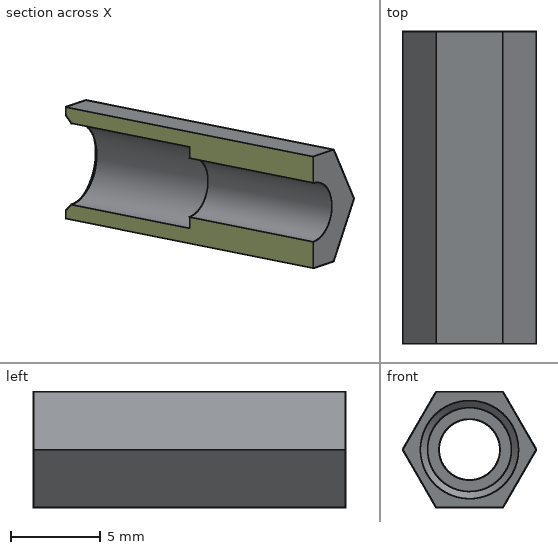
import cadquery as cq

length = 17.5
across_corners = 7.5
hex_sides = 6

through_diameter = 3.4
counterbore_diameter = 4.7
counterbore_depth = length / 2
countersink_diameter = 5.5
countersink_depth = (countersink_diameter - counterbore_diameter) / 2


def hex_body():
    """Hexagonal bar from Y = 0 to Y = length, with corners on the X axis."""
    return cq.Workplane("XZ").polygon(hex_sides, across_corners).extrude(-length)


def stepped_bore():
    """Countersink, counterbore and through hole, revolved about the Y axis."""
    countersink_radius = countersink_diameter / 2
    through_radius = through_diameter / 2
    counterbore_radius = counterbore_diameter / 2
    return (
        cq.Workplane("XY")
        .moveTo(0, 0)
        .lineTo(countersink_radius, 0)
        .lineTo(counterbore_radius, countersink_depth)
        .lineTo(counterbore_radius, counterbore_depth)
        .lineTo(through_radius, counterbore_depth)
        .lineTo(through_radius, length)
        .lineTo(0, length)
        .close()
        .revolve(360, (0, 0, 0), (0, 1, 0))
    )


result = hex_body().cut(stepped_bore())